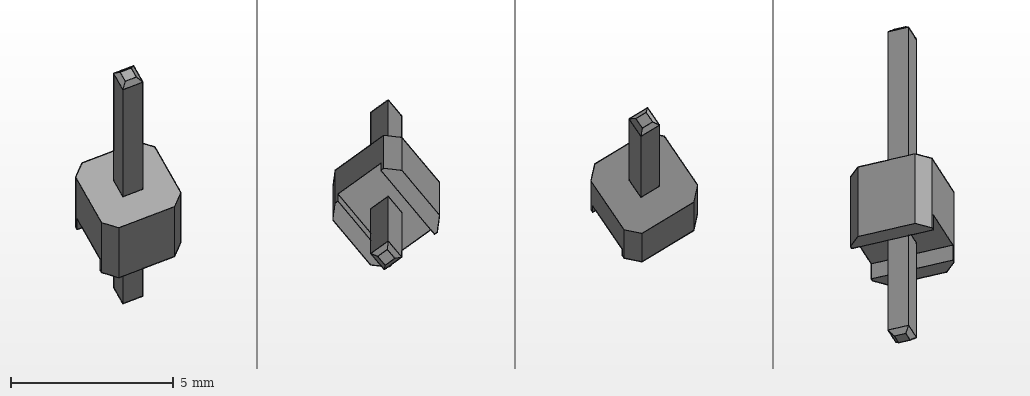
import cadquery as cq

pin_length = 11.8
pin_width = 0.68
tip_height = 0.17
tip_inset = 0.15

housing_width = 2.7
housing_height = 2.68
housing_top = 5.9
housing_bottom = housing_top - housing_height
corner_chamfer = 0.4

slot_width = 1.68
slot_depth = 0.58


def make_pin():
    """Square pin with both ends tapered."""
    tip_width = pin_width - 2 * tip_inset
    shaft_top = pin_length - tip_height
    shaft = (
        cq.Workplane("XY", origin=(0, 0, tip_height))
        .rect(pin_width, pin_width)
        .extrude(shaft_top - tip_height)
    )
    lower_tip = (
        cq.Workplane("XY")
        .rect(tip_width, tip_width)
        .workplane(offset=tip_height)
        .rect(pin_width, pin_width)
        .loft(ruled=True)
    )
    upper_tip = (
        cq.Workplane("XY", origin=(0, 0, shaft_top))
        .rect(pin_width, pin_width)
        .workplane(offset=tip_height)
        .rect(tip_width, tip_width)
        .loft(ruled=True)
    )
    return shaft.union(lower_tip).union(upper_tip)


def make_housing():
    """Block with chamfered upright corners and a slotted underside."""
    block = (
        cq.Workplane("XY", origin=(0, 0, housing_bottom))
        .rect(housing_width, housing_width)
        .extrude(housing_height)
        .edges("|Z")
        .chamfer(corner_chamfer)
    )
    slot = (
        cq.Workplane("XY", origin=(0, 0, housing_bottom))
        .rect(slot_width, housing_width)
        .extrude(slot_depth)
    )
    return block.cut(slot)


result = make_housing().union(make_pin())